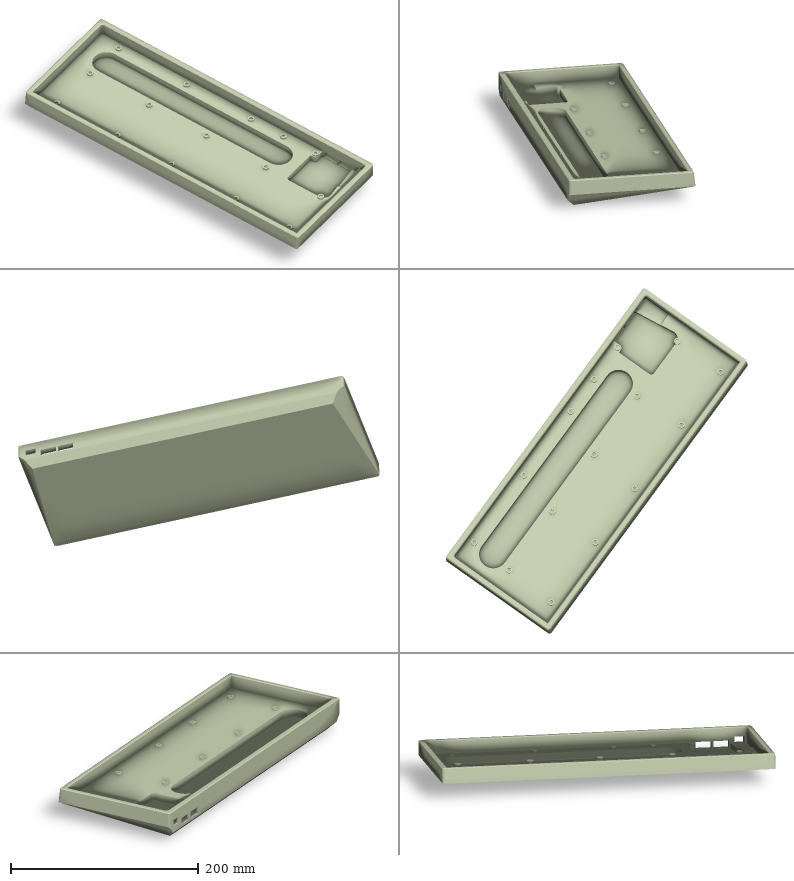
import cadquery as cq
import math

length = 362.5
depth = 138.0
height = 32.5
rim_base_z = 16.3
side_inset = 13.8
back_bevel = 7.5
corner_radius = 2.5
rim_bevel_width = 1.0
rim_bevel_height = 0.7
select_margin = 0.5

half_length = length / 2
front_y = -depth / 2
back_y = depth / 2
belly_slope = math.atan2(rim_base_z, depth - back_bevel)
front_lean = (height - rim_base_z) * math.tan(belly_slope)

floor_z = 17.5
inner_half_length = 175.5
inner_front_y = -61.5
inner_back_y = 62.7
inner_corner_radius = 3.0

recess_left_x = -161.3
recess_right_x = 98.0
recess_width = 30.5
recess_y = 31.0
recess_floor_z = 8.5

pocket_floor_z = 9.5
pocket_left_x = 110.5
pocket_front_y = 7.2
pocket_neck_x = 117.5
pocket_neck_y = 50.8
pocket_right_front_x = 164.2
pocket_right_back_x = 157.5
pocket_front_left_radius = 3.5
pocket_front_right_radius = 8.7
pocket_neck_radius = 3.5
pocket_back_radius = 1.5

shelf_floor_z = 15.0
shelf_front_y = 33.0
shelf_riser_lean = 1.0

port_sill_z = pocket_floor_z + 0.7
port_top_z = 18.0
port_openings = [
    (119.5, 136.5, port_sill_z, port_top_z),
    (139.0, 156.0, port_sill_z, port_top_z),
    (161.5, 172.5, shelf_floor_z, 22.0),
]

boss_diameter = 7.0
boss_hole_diameter = 4.0
boss_height = 2.0
boss_rows = [
    (55.0, [-147.5, -57.3, 28.3, 71.5, 114.2]),
    (7.2, [-150.0, -71.5, 4.7, 83.5, 156.5]),
    (-49.5, [-152.2, -71.8, 0, 85.5, 156.5]),
]
boss_points = [(x, y) for y, row in boss_rows for x in row]


def box_between(x0, x1, y0, y1, z0, z1):
    return cq.Workplane("XY").box(x1 - x0, y1 - y0, z1 - z0, centered=False).translate((x0, y0, z0))


def make_shell():
    side_profile = (
        cq.Workplane("YZ")
        .polyline([
            (front_y, rim_base_z),
            (back_y - back_bevel, 0),
            (back_y, back_bevel),
            (back_y, height),
            (front_y + front_lean, height),
        ])
        .close()
        .extrude(half_length, both=True)
    )
    front_profile = (
        cq.Workplane("XZ")
        .polyline([
            (-half_length, rim_base_z),
            (-half_length + side_inset, 0),
            (half_length - side_inset, 0),
            (half_length, rim_base_z),
            (half_length, height),
            (-half_length, height),
        ])
        .close()
        .extrude(depth, both=True)
    )
    shell = side_profile.intersect(front_profile)
    rim_middle_z = (height + rim_base_z) / 2
    corner_zone = cq.selectors.BoxSelector(
        (-length, -depth, rim_middle_z - select_margin),
        (length, depth, rim_middle_z + select_margin),
    )
    shell = shell.edges(corner_zone).fillet(corner_radius)
    return shell.faces(">Z").edges().chamfer(rim_bevel_width, rim_bevel_height)


def cut_cavity(body):
    cavity = box_between(
        -inner_half_length, inner_half_length, inner_front_y, inner_back_y, floor_z, height
    )
    cavity = cavity.edges("|Z and >Y").fillet(inner_corner_radius)
    body = body.cut(cavity)
    rim_opening = cq.selectors.BoxSelector(
        (-inner_half_length - select_margin, inner_front_y - select_margin, height - select_margin),
        (inner_half_length + select_margin, inner_back_y + select_margin, height + select_margin),
    )
    return body.edges(rim_opening).chamfer(rim_bevel_width, rim_bevel_height)


def make_recess():
    recess_length = recess_right_x - recess_left_x
    return (
        cq.Workplane("XY", origin=((recess_left_x + recess_right_x) / 2, recess_y, recess_floor_z))
        .slot2D(recess_length, recess_width)
        .extrude(floor_z - recess_floor_z)
    )


def make_pocket():
    pocket = (
        cq.Workplane("XY", origin=(0, 0, pocket_floor_z))
        .polyline([
            (pocket_left_x, pocket_front_y),
            (pocket_right_front_x, pocket_front_y),
            (pocket_right_back_x, inner_back_y),
            (pocket_neck_x, inner_back_y),
            (pocket_neck_x, pocket_neck_y),
            (pocket_left_x, pocket_neck_y),
        ])
        .close()
        .extrude(floor_z - pocket_floor_z)
    )
    corners = [
        (pocket_left_x, pocket_front_y, pocket_front_left_radius),
        (pocket_right_front_x, pocket_front_y, pocket_front_right_radius),
        (pocket_neck_x, pocket_neck_y, pocket_neck_radius),
        (pocket_neck_x, inner_back_y, pocket_back_radius),
        (pocket_right_back_x, inner_back_y, pocket_back_radius),
    ]
    middle_z = (pocket_floor_z + floor_z) / 2
    for x, y, radius in corners:
        corner_edge = cq.selectors.NearestToPointSelector((x, y, middle_z))
        pocket = pocket.edges(corner_edge).fillet(radius)
    return pocket


def make_shelf():
    return (
        cq.Workplane("YZ", origin=(pocket_right_back_x, 0, 0))
        .polyline([
            (shelf_front_y, shelf_floor_z),
            (shelf_front_y - shelf_riser_lean, floor_z),
            (inner_back_y, floor_z),
            (inner_back_y, shelf_floor_z),
        ])
        .close()
        .extrude(inner_half_length - pocket_right_back_x)
    )


def make_port(x0, x1, z0, z1):
    return box_between(x0, x1, inner_back_y, back_y, z0, z1)


def add_bosses(body):
    top_z = floor_z + boss_height
    for x, y in boss_points:
        beside_pocket = x >= pocket_left_x and y >= pocket_front_y
        base_z = pocket_floor_z if beside_pocket else floor_z
        post = (
            cq.Workplane("XY", origin=(x, y, base_z))
            .circle(boss_diameter / 2)
            .extrude(top_z - base_z)
        )
        body = body.union(post)
    holes = (
        cq.Workplane("XY", origin=(0, 0, floor_z))
        .pushPoints(boss_points)
        .circle(boss_hole_diameter / 2)
        .extrude(boss_height)
    )
    return body.cut(holes)


result = (
    cut_cavity(make_shell())
    .cut(make_recess())
    .cut(make_pocket())
    .cut(make_shelf())
)
for port in port_openings:
    result = result.cut(make_port(*port))
result = add_bosses(result)